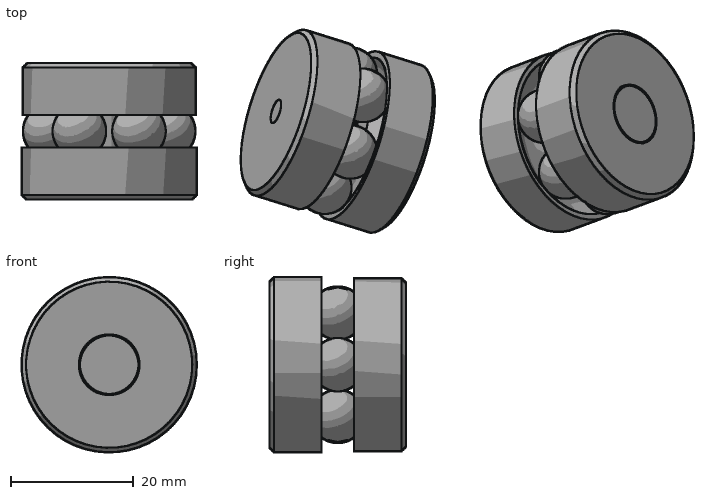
import cadquery as cq


bearing_length = 22.23
half_length = bearing_length / 2

front_ring_diameter = 28.57
rear_ring_diameter = 28.22
ring_gap = 5.24
ring_chamfer = 0.762

head_diameter = 9.525
head_thickness = 3.2
shank_diameter = 3.96

counterbore_diameter = 9.87
front_bore_diameter = 4.22
rear_bore_diameter = shank_diameter

ball_count = 6
ball_angle_step = 360 / ball_count
ball_diameter = 8.73
pitch_radius = 9.7
groove_diameter = ball_diameter


def make_cylinder(diameter, y_start, y_end):
    """Cylinder on the Y axis from y_start to y_end, with y_start below y_end."""
    base = cq.Workplane("XZ", origin=(0, y_end, 0))
    return base.circle(diameter / 2).extrude(y_end - y_start)


def make_groove_cutter():
    """Torus swept by a circle of the groove's diameter along the ball pitch circle."""
    section = cq.Workplane("XY").center(pitch_radius, 0).circle(groove_diameter / 2)
    return section.revolve(360, (-pitch_radius, 0, 0), (-pitch_radius, 1, 0))


def make_ring(outer_diameter, bore_diameter, side):
    """Ring with a ball groove in its inner face; side is -1 for the front (-Y), +1 for the rear (+Y)."""
    outer_radius = outer_diameter / 2
    bore_radius = bore_diameter / 2
    inner_face = side * ring_gap / 2
    outer_face = side * half_length
    profile = (
        cq.Workplane("XY")
        .moveTo(bore_radius, inner_face)
        .lineTo(outer_radius, inner_face)
        .lineTo(outer_radius, outer_face - side * ring_chamfer)
        .lineTo(outer_radius - ring_chamfer, outer_face)
        .lineTo(bore_radius, outer_face)
        .close()
    )
    ring = profile.revolve(360, (0, 0, 0), (0, 1, 0))
    return ring.cut(make_groove_cutter())


def make_front_ring():
    """Front ring, counterbored so that the pin head seats flush with its outer face."""
    ring = make_ring(front_ring_diameter, front_bore_diameter, -1)
    counterbore = make_cylinder(counterbore_diameter, -half_length, head_thickness - half_length)
    return ring.cut(counterbore)


def make_rear_ring():
    """Rear ring with a plain bore that fits the pin shank."""
    return make_ring(rear_ring_diameter, rear_bore_diameter, 1)


def make_pin():
    """Headed pin through both rings."""
    head = make_cylinder(head_diameter, -half_length, head_thickness - half_length)
    shank = make_cylinder(shank_diameter, -half_length, half_length)
    return head.union(shank)


def make_ball(angle):
    """Ball on the pitch circle, turned about the Y axis by an angle in degrees from +X."""
    ball = cq.Workplane("XY").sphere(ball_diameter / 2).translate((pitch_radius, 0, 0))
    return ball.rotate((0, 0, 0), (0, 1, 0), angle)


front_ring = make_front_ring()
rear_ring = make_rear_ring()
pin = make_pin()
balls = [make_ball(index * ball_angle_step) for index in range(ball_count)]

result = cq.Compound.makeCompound([
    front_ring.val(),
    rear_ring.val(),
    pin.val(),
    *[ball.val() for ball in balls],
])